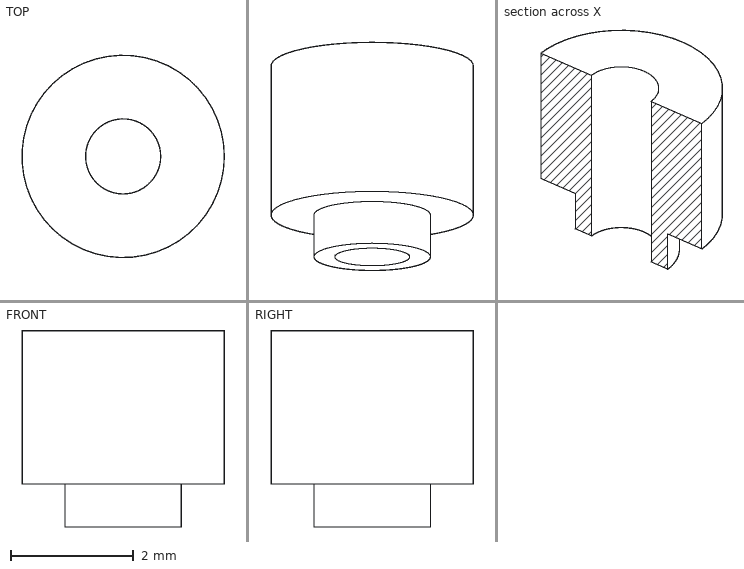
import cadquery as cq

body_diameter = 3.3
body_height = 2.5
spigot_diameter = 1.9
spigot_length = 0.7
bore_diameter = 1.22


def make_body():
    """Cylindrical spacer body standing on the seating plane Z = 0."""
    return cq.Workplane("XY").circle(body_diameter / 2).extrude(body_height)


def make_spigot():
    """Narrower locating spigot hanging below the seating plane."""
    return cq.Workplane("XY").circle(spigot_diameter / 2).extrude(-spigot_length)


def make_bore():
    """Cutter for the axial bore through spigot and body."""
    total_height = body_height + spigot_length
    return (
        cq.Workplane("XY")
        .workplane(offset=-spigot_length)
        .circle(bore_diameter / 2)
        .extrude(total_height)
    )


result = make_body().union(make_spigot()).cut(make_bore())